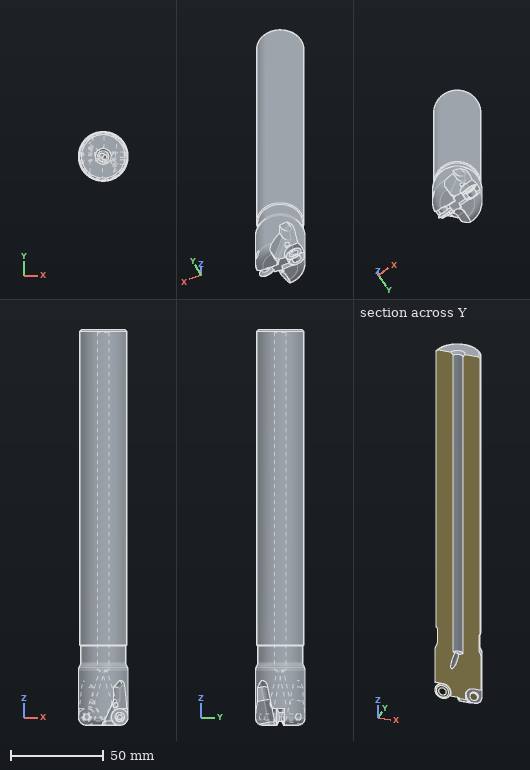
import cadquery as cq
import math

TOTAL_LENGTH = 214.7
HEAD_RADIUS = 13.5
SHANK_RADIUS = 12.9
NECK_RADIUS = 12.2
SHANK_START_Z = 43.0
SHANK_TOP_CHAMFER = 1.0
SHANK_LOWER_CHAMFER = SHANK_RADIUS - NECK_RADIUS
CONE_TOP_Z = 33.3
CONE_BOTTOM_Z = 30.7
CONE_BLEND_RADIUS = 2.5
NOSE_RADIUS = 4.0

BORE_RADIUS = 3.0
BORE_MOUTH_RADIUS = 4.3
BORE_MOUTH_DEPTH = 1.7
BORE_BOTTOM_Z = 30
DRILL_POINT_ANGLE = 118
COOLANT_RADIUS = 1.3
COOLANT_EXIT = (6.5, -4.5, 11.2)

INSERT_COUNT = 2
INSERT_RADIUS = 4.5
INSERT_X = HEAD_RADIUS - INSERT_RADIUS
INSERT_Z = INSERT_RADIUS
INSERT_FACE_Y = -2.0
SEAT_Y = 2.4
RIM_THICKNESS = 0.2
HUB_RADIUS = 2.4
HUB_DEPTH = 1.3
RECESS_RADIUS = 2.5
RECESS_FLOOR_RADIUS = 1.3
RECESS_DEPTH = 1.5
SCREW_HOLE_RADIUS = 1.7

SEAT_GAP = 0.2
SEAT_RADIUS = INSERT_RADIUS + SEAT_GAP
SLANT_BOTTOM_X = -0.5
SLANT_BOTTOM_Z = 2.4
FLUTE_WALL_X = 5.5
SLANT_TOP_Z = 14.5
FLUTE_SHOULDER_Z = 22.0
FLUTE_TOP_X = 9.0
FLUTE_TOP_Z = 25.5
FLUTE_FLOOR_Y = -2.5
FLUTE_TILT = 11.5
FLUTE_CORNER_RADIUS = 3.5

GROOVE_HEIGHT = SLANT_BOTTOM_Z
GROOVE_TOP_HALF_WIDTH = 1.0
GROOVE_BOTTOM_HALF_WIDTH = 2.0
END_CLEARANCE_WIDTH = 3.5

CLEARANCE = 6.5


def around_axis(shape, index):
    """The shape turned about Z to the place of the given insert."""
    return shape.rotate((0, 0, 0), (0, 0, 1), index * 360 / INSERT_COUNT)


def turned_blank():
    """Head, neck and shank before any pocket or hole is cut."""
    blank = (
        cq.Workplane("XZ")
        .moveTo(0, 0)
        .lineTo(HEAD_RADIUS, 0)
        .lineTo(HEAD_RADIUS, CONE_BOTTOM_Z)
        .lineTo(NECK_RADIUS, CONE_TOP_Z)
        .lineTo(NECK_RADIUS, SHANK_START_Z)
        .lineTo(SHANK_RADIUS, SHANK_START_Z + SHANK_LOWER_CHAMFER)
        .lineTo(SHANK_RADIUS, TOTAL_LENGTH)
        .lineTo(0, TOTAL_LENGTH)
        .close()
        .revolve(360, (0, 0), (0, 1))
    )
    blank = blank.faces("<Z").edges().fillet(NOSE_RADIUS)
    blank = blank.faces(">Z").edges().chamfer(SHANK_TOP_CHAMFER)
    cone_ends = cq.selectors.BoxSelector(
        (-CLEARANCE, -CLEARANCE, CONE_BOTTOM_Z - CLEARANCE),
        (CLEARANCE, CLEARANCE, CONE_TOP_Z + CLEARANCE),
    )
    return blank.edges("%CIRCLE").edges(cone_ends).fillet(CONE_BLEND_RADIUS)


def coolant_bore():
    """Central bore with a countersunk mouth and a drill point at its bottom."""
    return (
        cq.Workplane("XZ")
        .moveTo(0, BORE_BOTTOM_Z - BORE_RADIUS / math.tan(math.radians(DRILL_POINT_ANGLE / 2)))
        .lineTo(BORE_RADIUS, BORE_BOTTOM_Z)
        .lineTo(BORE_RADIUS, TOTAL_LENGTH - BORE_MOUTH_DEPTH)
        .lineTo(BORE_MOUTH_RADIUS, TOTAL_LENGTH)
        .lineTo(0, TOTAL_LENGTH)
        .close()
        .revolve(360, (0, 0), (0, 1))
    )


def coolant_branch():
    """Oblique hole from the bottom of the bore to the chip flute."""
    start = cq.Vector(0, 0, BORE_BOTTOM_Z + COOLANT_RADIUS)
    path = cq.Vector(*COOLANT_EXIT) - start
    reach = path.Length + COOLANT_RADIUS
    return cq.Workplane(cq.Solid.makeCylinder(COOLANT_RADIUS, reach, start, path))


def flute():
    """Chip flute whose floor leans outward until it runs out of the head."""
    outer_x = HEAD_RADIUS + CLEARANCE
    outline = [
        (SLANT_BOTTOM_X, -CLEARANCE),
        (SLANT_BOTTOM_X, SLANT_BOTTOM_Z),
        (FLUTE_WALL_X, SLANT_TOP_Z),
        (FLUTE_WALL_X, FLUTE_SHOULDER_Z),
        (FLUTE_TOP_X, FLUTE_TOP_Z),
        (outer_x, FLUTE_TOP_Z),
        (outer_x, -CLEARANCE),
    ]
    cutter = cq.Workplane("XZ").polyline(outline).close().extrude(HEAD_RADIUS + CLEARANCE)
    cutter = cutter.faces(">Y").edges("not(>X or <Z)").fillet(FLUTE_CORNER_RADIUS)
    return cutter.rotate((0, 0, 0), (1, 0, 0), FLUTE_TILT).translate((0, FLUTE_FLOOR_Y, 0))


def insert_seat():
    """Round recess for the insert, open to the outside and to the cutting end."""
    depth = SEAT_Y + HEAD_RADIUS
    front = cq.Workplane("XZ", origin=(INSERT_X, SEAT_Y, INSERT_Z))
    opening_width = HEAD_RADIUS + CLEARANCE - INSERT_X
    opening_height = SEAT_RADIUS + INSERT_Z + CLEARANCE
    opening = (
        front.moveTo(opening_width / 2, SEAT_RADIUS - opening_height / 2)
        .rect(opening_width, opening_height)
        .extrude(depth)
    )
    return front.circle(SEAT_RADIUS).extrude(depth).union(opening)


def end_clearance():
    """Open space under the chip pocket floor, which runs into the end groove."""
    length = HEAD_RADIUS - SLANT_BOTTOM_X
    return (
        cq.Workplane("XY")
        .box(length, END_CLEARANCE_WIDTH, GROOVE_HEIGHT, centered=False)
        .translate((SLANT_BOTTOM_X, -END_CLEARANCE_WIDTH, 0))
    )


def end_groove():
    """Groove along X through the whole cutting end."""
    outline = [
        (-GROOVE_BOTTOM_HALF_WIDTH, 0),
        (-GROOVE_TOP_HALF_WIDTH, GROOVE_HEIGHT),
        (GROOVE_TOP_HALF_WIDTH, GROOVE_HEIGHT),
        (GROOVE_BOTTOM_HALF_WIDTH, 0),
    ]
    return cq.Workplane("YZ").polyline(outline).close().extrude(HEAD_RADIUS, both=True)


def screw_hole():
    """Hole from the middle of the seat out through the back of the head."""
    return (
        cq.Workplane("XZ", origin=(INSERT_X, SEAT_Y, INSERT_Z))
        .circle(SCREW_HOLE_RADIUS)
        .extrude(-HEAD_RADIUS)
    )


def tool_body():
    body = turned_blank().cut(coolant_bore()).cut(end_groove())
    pocket_cutters = (flute(), insert_seat(), end_clearance(), screw_hole(), coolant_branch())
    for index in range(INSERT_COUNT):
        for cutter in pocket_cutters:
            body = body.cut(around_axis(cutter, index))
    return body


def cutting_insert():
    """Round insert with a relieved rim, a hub on the seat and a recess in its face."""
    thickness = SEAT_Y - INSERT_FACE_Y
    turned = (
        cq.Workplane("XY")
        .moveTo(0, RECESS_DEPTH)
        .lineTo(RECESS_FLOOR_RADIUS, RECESS_DEPTH)
        .lineTo(RECESS_RADIUS, 0)
        .lineTo(INSERT_RADIUS, 0)
        .lineTo(INSERT_RADIUS, RIM_THICKNESS)
        .lineTo(HUB_RADIUS, HUB_DEPTH)
        .lineTo(HUB_RADIUS, thickness)
        .lineTo(0, thickness)
        .close()
        .revolve(360, (0, 0), (0, 1))
    )
    return turned.translate((INSERT_X, INSERT_FACE_Y, INSERT_Z))


body = tool_body()
inserts = [around_axis(cutting_insert(), index) for index in range(INSERT_COUNT)]

result = cq.Compound.makeCompound([body.val(), *[insert.val() for insert in inserts]])